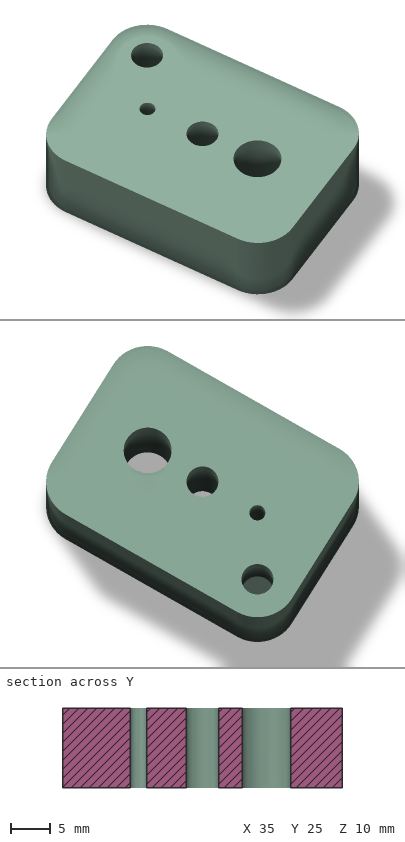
import cadquery as cq

length = 35.0
width = 25.0
height = 10.0
corner_radius = 5.0

hole_pitch = 8.0
through_diameters = [2.0, 4.0, 6.0]

blind_diameter = 4.0
blind_depth = height / 2
blind_x = -(length / 2 - corner_radius)
blind_y = width / 2 - corner_radius


def rounded_block():
    block = cq.Workplane("XY").box(length, width, height, centered=(True, True, False))
    return block.edges("|Z").fillet(corner_radius)


def hole_cutter(x, y, diameter, depth):
    """Cylinder reaching down from the top face by the given depth."""
    top_plane = cq.Workplane("XY", origin=(x, y, height))
    return top_plane.circle(diameter / 2).extrude(-depth)


result = rounded_block()

middle_index = (len(through_diameters) - 1) / 2
for index, diameter in enumerate(through_diameters):
    hole_x = (index - middle_index) * hole_pitch
    result = result.cut(hole_cutter(hole_x, 0, diameter, height))

result = result.cut(hole_cutter(blind_x, blind_y, blind_diameter, blind_depth))